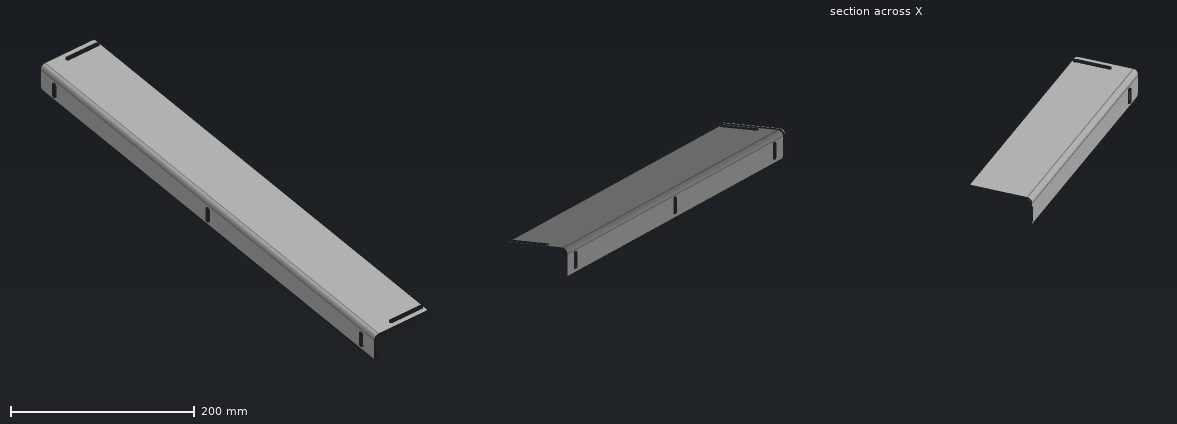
import cadquery as cq

length = 600.0
depth = 75.0
height = 35.0
thickness = 2.5
inner_bend_radius = 6.0
bend_radius = 6.0
corner_radius = 3.5

front_slot_width = 5.0
front_slot_length = 18.0
front_slot_end_distance = 25.0
front_slot_bottom_gap = 5.5

top_slot_width = 3.5
top_slot_length = 44.0
top_slot_end_distance = 10.0
top_slot_back_gap = 2.5


def bent_strip():
    """L-shaped sheet: front flange at Y = 0, top flange at Z = height."""
    section = (
        cq.Workplane("YZ")
        .moveTo(0, 0)
        .lineTo(0, height - bend_radius)
        .radiusArc((bend_radius, height), bend_radius)
        .lineTo(depth, height)
        .lineTo(depth, height - thickness)
        .lineTo(thickness + inner_bend_radius, height - thickness)
        .radiusArc((thickness, height - thickness - inner_bend_radius), -inner_bend_radius)
        .lineTo(thickness, 0)
        .close()
    )
    strip = section.extrude(length / 2, both=True)
    strip = strip.faces("<Z").edges("|Y").fillet(corner_radius)
    return strip.faces(">Y").edges("|Z").fillet(corner_radius)


def front_slots():
    """Three round-ended slots, one in the middle and one near each end."""
    spacing = length / 2 - front_slot_end_distance
    middle_z = front_slot_bottom_gap + front_slot_length / 2
    return (
        cq.Workplane("XZ")
        .pushPoints([(x, middle_z) for x in (-spacing, 0, spacing)])
        .slot2D(front_slot_length, front_slot_width, 90)
        .extrude(-thickness)
    )


def top_slots():
    """Two round-ended slots running back from the middle of the top flange."""
    offset = length / 2 - top_slot_end_distance
    middle_y = depth - top_slot_back_gap - top_slot_length / 2
    return (
        cq.Workplane("XY", origin=(0, 0, height))
        .pushPoints([(-offset, middle_y), (offset, middle_y)])
        .slot2D(top_slot_length, top_slot_width, 90)
        .extrude(-thickness)
    )


result = bent_strip().cut(front_slots()).cut(top_slots())